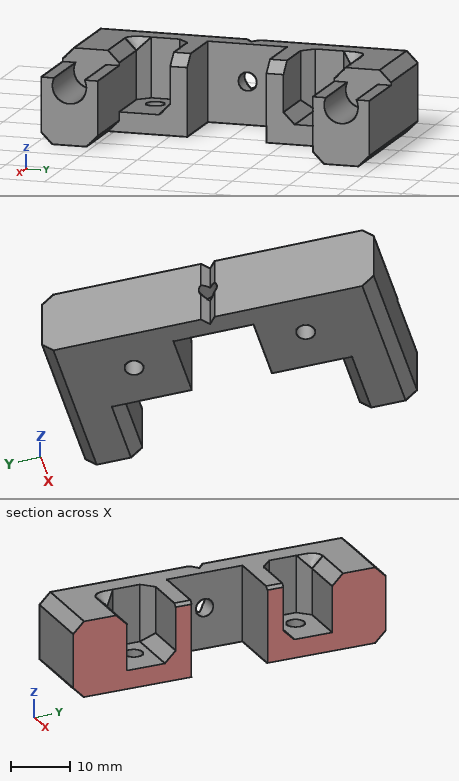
import cadquery as cq

LENGTH = 27.0
WIDTH = 58.0
HEIGHT = 14.0
HALF_WIDTH = WIDTH / 2

BLOCK_DEPTH = 15.0
WALL = 3.5
CHAMFER = 2.0
ARM_WIDTH = 10.0
ARM_TOP = 11.5
ARM_INNER = HALF_WIDTH - ARM_WIDTH
ARM_GROOVE_DIAMETER = 6.0
ARM_GROOVE_AXIS_Z = 10.2

OPENING_HALF_WIDTH = 7.0
RIB_WIDTH = 3.0
RIB_OUTER = OPENING_HALF_WIDTH + RIB_WIDTH

HOLE_DIAMETER = 3.2
FLOOR_HOLE_X = 7.5
FLOOR_HOLE_Y = 15.0
BACK_HOLE_Z = 7.5
NOTCH_HALF_WIDTH = 1.2
NOTCH_DEPTH = 1.4


def box_between(x_range, y_range, z_range):
    """Axis-aligned box given by its (start, end) on each axis."""
    size = [end - start for start, end in (x_range, y_range, z_range)]
    corner = cq.Vector(x_range[0], y_range[0], z_range[0])
    return cq.Workplane("XY").box(*size, centered=False).translate(corner)


def outer_body():
    """Chamfered bar along X, cut away above and between the arms."""
    bar = box_between((0, LENGTH), (-HALF_WIDTH, HALF_WIDTH), (0, HEIGHT))
    bar = bar.edges("|X").chamfer(CHAMFER)
    above_arms = box_between((BLOCK_DEPTH, LENGTH), (-HALF_WIDTH, HALF_WIDTH), (ARM_TOP, HEIGHT))
    between_arms = box_between((BLOCK_DEPTH, LENGTH), (-ARM_INNER, ARM_INNER), (0, HEIGHT))
    return bar.cut(above_arms).cut(between_arms)


def central_opening():
    """Full-height opening between the two ribs."""
    y_range = (-OPENING_HALF_WIDTH, OPENING_HALF_WIDTH)
    return box_between((WALL, BLOCK_DEPTH), y_range, (0, HEIGHT))


def pocket():
    """Pocket on the +Y side, open toward +X and +Z."""
    return box_between((WALL, BLOCK_DEPTH), (RIB_OUTER, ARM_INNER), (WALL, HEIGHT))


def arm_groove():
    """Round groove along the top of the +Y arm."""
    return (
        cq.Workplane("YZ", origin=(BLOCK_DEPTH, 0, 0))
        .center(HALF_WIDTH - ARM_WIDTH / 2, ARM_GROOVE_AXIS_Z)
        .circle(ARM_GROOVE_DIAMETER / 2)
        .extrude(LENGTH - BLOCK_DEPTH)
    )


def floor_hole():
    """Screw hole through the floor of the +Y pocket."""
    return (
        cq.Workplane("XY")
        .center(FLOOR_HOLE_X, FLOOR_HOLE_Y)
        .circle(HOLE_DIAMETER / 2)
        .extrude(WALL)
    )


def back_hole():
    """Hole along X through the back wall."""
    return cq.Workplane("YZ").center(0, BACK_HOLE_Z).circle(HOLE_DIAMETER / 2).extrude(WALL)


def back_notch():
    """Vertical V-notch in the middle of the back face."""
    outline = [(0, -NOTCH_HALF_WIDTH), (NOTCH_DEPTH, 0), (0, NOTCH_HALF_WIDTH)]
    return cq.Workplane("XY").polyline(outline).close().extrude(HEIGHT)


def rib_end_chamfer():
    """Wedge that bevels the upper +X end of the +Y rib."""
    return (
        cq.Workplane("XZ", origin=(0, RIB_OUTER, 0))
        .moveTo(BLOCK_DEPTH - CHAMFER, HEIGHT)
        .lineTo(BLOCK_DEPTH, HEIGHT)
        .lineTo(BLOCK_DEPTH, HEIGHT - CHAMFER)
        .close()
        .extrude(RIB_WIDTH)
    )


def bevel_pocket_and_arm(body, side):
    """Bevel the pocket and lower arm edges on one side (+1 or -1) in Y.

    The edges are bevelled together so that they blend at the shared pocket corner.
    """
    pocket_mid_x = (WALL + BLOCK_DEPTH) / 2
    pocket_mid_z = (WALL + HEIGHT) / 2
    arm_mid_x = (BLOCK_DEPTH + LENGTH) / 2
    edge_centres = [
        (WALL, side * RIB_OUTER, pocket_mid_z),
        (WALL, side * ARM_INNER, pocket_mid_z),
        (pocket_mid_x, side * RIB_OUTER, WALL),
        (pocket_mid_x, side * ARM_INNER, HEIGHT),
        (arm_mid_x, side * ARM_INNER, 0),
    ]
    edges = []
    for centre in edge_centres:
        edges.append(body.edges(cq.selectors.NearestToPointSelector(centre)).val())
    return body.newObject(edges).chamfer(CHAMFER)


bracket = outer_body().cut(central_opening()).cut(back_hole()).cut(back_notch())
for side_feature in (pocket(), floor_hole(), arm_groove(), rib_end_chamfer()):
    bracket = bracket.cut(side_feature).cut(side_feature.mirror("XZ"))
for y_side in (1, -1):
    bracket = bevel_pocket_and_arm(bracket, y_side)

result = cq.Workplane(bracket.solids().val())